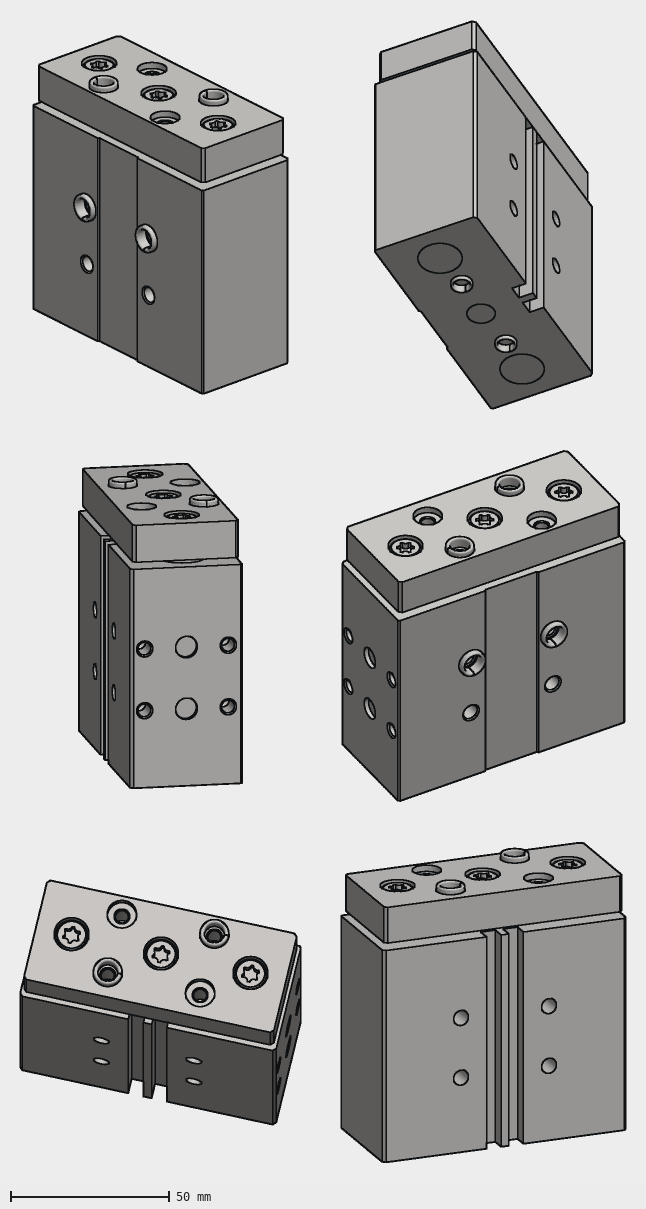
import cadquery as cq
import math


HOUSING_X = 83.0
HOUSING_Y = 36.0
HOUSING_Z = 71.0
BACK_CHAMFER = 1.0
FRONT_CHAMFER = 0.5
HOUSING_FRONT = -HOUSING_Y / 2
HOUSING_BACK = HOUSING_Y / 2
HOUSING_SIDE = -HOUSING_X / 2

CHANNEL_WIDTH = 18.8
CHANNEL_DEPTH = 0.5
CHANNEL_FLARE = 0.35

SLOT_WIDTH = 4.9
SLOT_DEPTH = 4.9
SLOT_RIB = 2.6

YOKE_X = 81.0
YOKE_Y = 34.0
YOKE_Z = 12.0
YOKE_CHAMFER = 1.0
YOKE_GAP = 2.0
YOKE_BOTTOM = HOUSING_Z + YOKE_GAP
YOKE_TOP = YOKE_BOTTOM + YOKE_Z

ROD_Y = -1.0
GUIDE_X = 29.0
GUIDE_DIAMETER = 14.0
PISTON_ROD_DIAMETER = 9.0
SCREW_SHANK_DIAMETER = 6.0
HEAD_RECESS_DIAMETER = 11.0
HEAD_RECESS_DEPTH = 5.3
HEAD_DIAMETER = 10.0
HEAD_CHAMFER = 0.5
HEAD_SINK = 0.6
HEAD_HEIGHT = HEAD_RECESS_DEPTH - HEAD_SINK
HEAD_TOP = YOKE_TOP - HEAD_SINK

SOCKET_TIP_RADIUS = 2.8
SOCKET_SHOULDER_RADIUS = 2.6
SOCKET_VALLEY_RADIUS = 2.0
SOCKET_DEPTH = 2.0
SOCKET_LOBES = 6
SOCKET_TIP_HALF_ANGLE = 9
SOCKET_FIRST_TIP_ANGLE = 90

LEVELS_Z = (25.0, 45.0)
PATTERN_X = 15.0
YOKE_PATTERN_Y = 10.0
CROSS_HOLE_DIAMETER = 5.0
CROSS_HOLE_MOUTH = 6.0
THREAD_HOLE_DIAMETER = 4.1
SIDE_HOLE_MOUTH = 5.2
YOKE_HOLE_MOUTH = 4.9
SIDE_HOLE_Y = 13.5
SIDE_HOLE_DEPTH = 9.0
DRILL_TIP_ANGLE = 118

SLEEVE_DIAMETER = 9.0
SLEEVE_BORE = 6.3
SLEEVE_PROUD = 1.85
SLEEVE_RECESS_DEPTH = 2.1
YOKE_RECESS_DIAMETER = 9.25
SMALL_SLEEVE_DIAMETER = 7.0
SMALL_SLEEVE_BORE = 5.3
SMALL_SLEEVE_PROUD = 1.2
SMALL_RECESS_DEPTH = 1.6
SMALL_SLEEVE_X = 15.6
SLIT_WIDTH = 0.1

INTO_FRONT = cq.Vector(0, 1, 0)
INTO_SIDE = cq.Vector(1, 0, 0)
INTO_TOP = cq.Vector(0, 0, -1)
INTO_BOTTOM = cq.Vector(0, 0, 1)

FRONT_SLEEVE_POINTS = [(x, HOUSING_FRONT, LEVELS_Z[1]) for x in (-PATTERN_X, PATTERN_X)]
CROSS_HOLE_POINTS = [(x, HOUSING_FRONT, LEVELS_Z[0]) for x in (-PATTERN_X, PATTERN_X)]
BOTTOM_SLEEVE_POINTS = [(x, 0, 0) for x in (-SMALL_SLEEVE_X, SMALL_SLEEVE_X)]
YOKE_SLEEVE_POINTS = [(s * PATTERN_X, ROD_Y + s * YOKE_PATTERN_Y, YOKE_TOP) for s in (-1, 1)]
YOKE_OPEN_POINTS = [(s * PATTERN_X, ROD_Y - s * YOKE_PATTERN_Y, YOKE_TOP) for s in (-1, 1)]
GUIDE_POSITIONS = (-GUIDE_X, GUIDE_X)


def cylinder(diameter, depth, point, direction):
    return cq.Workplane(cq.Solid.makeCylinder(diameter / 2, depth, cq.Vector(*point), direction))


def upright_cylinder(diameter, x, z_low, z_high):
    return cylinder(diameter, z_high - z_low, (x, ROD_Y, z_low), cq.Vector(0, 0, 1))


def countersink(mouth, hole, point, direction):
    """A 45 degree cone that breaks the edge of a hole."""
    depth = (mouth - hole) / 2
    return cq.Workplane(cq.Solid.makeCone(mouth / 2, hole / 2, depth, cq.Vector(*point), direction))


def drilled_hole(hole, mouth, depth, point, direction):
    """A blind hole with a countersunk mouth and a conical drill tip."""
    tip_height = hole / 2 / math.tan(math.radians(DRILL_TIP_ANGLE / 2))
    tip_start = cq.Vector(*point) + direction * depth
    tip = cq.Solid.makeCone(hole / 2, 0, tip_height, tip_start, direction)
    shaft = cylinder(hole, depth, point, direction)
    return shaft.union(cq.Workplane(tip)).union(countersink(mouth, hole, point, direction))


def make_housing():
    x = HOUSING_X / 2
    outline = [
        (-x, HOUSING_FRONT + FRONT_CHAMFER),
        (-x + FRONT_CHAMFER, HOUSING_FRONT),
        (x - FRONT_CHAMFER, HOUSING_FRONT),
        (x, HOUSING_FRONT + FRONT_CHAMFER),
        (x, HOUSING_BACK - BACK_CHAMFER),
        (x - BACK_CHAMFER, HOUSING_BACK),
        (-x + BACK_CHAMFER, HOUSING_BACK),
        (-x, HOUSING_BACK - BACK_CHAMFER),
    ]
    body = cq.Workplane().polyline(outline).close().extrude(HOUSING_Z)

    floor_x = CHANNEL_WIDTH / 2
    channel = [
        (-floor_x - CHANNEL_FLARE, HOUSING_FRONT),
        (-floor_x, HOUSING_FRONT + CHANNEL_DEPTH),
        (floor_x, HOUSING_FRONT + CHANNEL_DEPTH),
        (floor_x + CHANNEL_FLARE, HOUSING_FRONT),
    ]
    body = body.cut(cq.Workplane().polyline(channel).close().extrude(HOUSING_Z))
    slot_x = (SLOT_RIB + SLOT_WIDTH) / 2
    body = body.cut(
        cq.Workplane()
        .pushPoints([(-slot_x, HOUSING_BACK), (slot_x, HOUSING_BACK)])
        .rect(SLOT_WIDTH, 2 * SLOT_DEPTH)
        .extrude(HOUSING_Z)
    )

    body = body.cut(upright_cylinder(PISTON_ROD_DIAMETER, 0, 0, HOUSING_Z))
    for guide_x in GUIDE_POSITIONS:
        body = body.cut(upright_cylinder(GUIDE_DIAMETER, guide_x, 0, HOUSING_Z))

    for point in CROSS_HOLE_POINTS:
        body = body.cut(cylinder(CROSS_HOLE_DIAMETER, HOUSING_Y, point, INTO_FRONT))
        body = body.cut(countersink(CROSS_HOLE_MOUTH, CROSS_HOLE_DIAMETER, point, INTO_FRONT))
    for point in FRONT_SLEEVE_POINTS:
        floor = cq.Vector(*point) + INTO_FRONT * SLEEVE_RECESS_DEPTH
        body = body.cut(cylinder(CROSS_HOLE_DIAMETER, HOUSING_Y, point, INTO_FRONT))
        body = body.cut(cylinder(SLEEVE_DIAMETER, SLEEVE_RECESS_DEPTH, point, INTO_FRONT))
        body = body.cut(
            countersink(CROSS_HOLE_MOUTH, CROSS_HOLE_DIAMETER, floor.toTuple(), INTO_FRONT)
        )

    for z in LEVELS_Z:
        middle = (HOUSING_SIDE, 0, z)
        body = body.cut(cylinder(SMALL_SLEEVE_DIAMETER, SMALL_RECESS_DEPTH, middle, INTO_SIDE))
        for y in (-SIDE_HOLE_Y, SIDE_HOLE_Y):
            body = body.cut(
                drilled_hole(
                    THREAD_HOLE_DIAMETER,
                    SIDE_HOLE_MOUTH,
                    SIDE_HOLE_DEPTH,
                    (HOUSING_SIDE, y, z),
                    INTO_SIDE,
                )
            )

    for point in BOTTOM_SLEEVE_POINTS:
        body = body.cut(cylinder(SMALL_SLEEVE_DIAMETER, SMALL_RECESS_DEPTH, point, INTO_BOTTOM))
    return body


def make_screw_head(x):
    """A chamfered round head with a six-lobed socket, standing in its recess."""

    def polar(radius, degrees):
        angle = math.radians(degrees)
        return (x + radius * math.cos(angle), ROD_Y + radius * math.sin(angle))

    head = upright_cylinder(HEAD_DIAMETER, x, HEAD_TOP - HEAD_HEIGHT, HEAD_TOP)
    head = head.faces(">Z").chamfer(HEAD_CHAMFER)

    pitch = 360 / SOCKET_LOBES
    half = SOCKET_TIP_HALF_ANGLE
    outline = cq.Workplane().workplane(offset=HEAD_TOP - SOCKET_DEPTH)
    outline = outline.moveTo(*polar(SOCKET_SHOULDER_RADIUS, SOCKET_FIRST_TIP_ANGLE - half))
    for lobe in range(SOCKET_LOBES):
        tip = SOCKET_FIRST_TIP_ANGLE + lobe * pitch
        tip_end = polar(SOCKET_SHOULDER_RADIUS, tip + half)
        outline = outline.threePointArc(polar(SOCKET_TIP_RADIUS, tip), tip_end)
        valley = polar(SOCKET_VALLEY_RADIUS, tip + pitch / 2)
        next_tip_start = polar(SOCKET_SHOULDER_RADIUS, tip + pitch - half)
        outline = outline.threePointArc(valley, next_tip_start)
    return head.cut(outline.close().extrude(SOCKET_DEPTH))


def make_yoke():
    """The yoke plate in one piece with the piston rod and the screw head above it."""
    plate = (
        cq.Workplane()
        .box(YOKE_X, YOKE_Y, YOKE_Z, centered=(True, True, False))
        .edges("|Z")
        .chamfer(YOKE_CHAMFER)
        .translate((0, 0, YOKE_BOTTOM))
    )
    for x in (0, *GUIDE_POSITIONS):
        recess_floor = YOKE_TOP - HEAD_RECESS_DEPTH
        plate = plate.cut(upright_cylinder(HEAD_RECESS_DIAMETER, x, recess_floor, YOKE_TOP))
    for x in GUIDE_POSITIONS:
        plate = plate.cut(upright_cylinder(SCREW_SHANK_DIAMETER, x, YOKE_BOTTOM, YOKE_TOP))

    for point in YOKE_SLEEVE_POINTS + YOKE_OPEN_POINTS:
        floor = cq.Vector(*point) + INTO_TOP * SLEEVE_RECESS_DEPTH
        plate = plate.cut(cylinder(YOKE_RECESS_DIAMETER, SLEEVE_RECESS_DEPTH, point, INTO_TOP))
        plate = plate.cut(cylinder(THREAD_HOLE_DIAMETER, YOKE_Z, point, INTO_TOP))
        plate = plate.cut(
            countersink(YOKE_HOLE_MOUTH, THREAD_HOLE_DIAMETER, floor.toTuple(), INTO_TOP)
        )

    piston_rod = upright_cylinder(PISTON_ROD_DIAMETER, 0, 0, YOKE_BOTTOM)
    return plate.union(piston_rod).union(make_screw_head(0))


def make_guide_rod(x):
    """A guide rod in one piece with the screw that holds it to the yoke."""
    rod = upright_cylinder(GUIDE_DIAMETER, x, 0, YOKE_BOTTOM)
    shank = upright_cylinder(SCREW_SHANK_DIAMETER, x, YOKE_BOTTOM, HEAD_TOP - HEAD_HEIGHT)
    return rod.union(shank).union(make_screw_head(x))


def make_sleeve(diameter, bore, recess_depth, proud, point, direction, slit_direction):
    """A slit ring with fully rounded ends, standing proud of its recess."""
    outer = diameter / 2
    inner = bore / 2
    middle = (outer + inner) / 2
    rounding = (outer - inner) / 2
    length = recess_depth + proud
    ring = (
        cq.Workplane("XZ")
        .moveTo(outer, rounding)
        .lineTo(outer, length - rounding)
        .threePointArc((middle, length), (inner, length - rounding))
        .lineTo(inner, rounding)
        .threePointArc((middle, 0), (outer, rounding))
        .close()
        .revolve(360, (0, 0, 0), (0, 1, 0))
    )
    slit = cq.Workplane().box(diameter, SLIT_WIDTH, length, centered=(False, True, False))
    outer_end = cq.Vector(*point) - direction * proud
    place = cq.Plane(outer_end.toTuple(), slit_direction, direction.toTuple())
    return cq.Workplane(ring.cut(slit).val().moved(cq.Location(place)))


def make_large_sleeve(point, direction, slit_direction):
    return make_sleeve(
        SLEEVE_DIAMETER, SLEEVE_BORE, SLEEVE_RECESS_DEPTH, SLEEVE_PROUD,
        point, direction, slit_direction,
    )


def make_small_sleeve(point, direction, slit_direction):
    return make_sleeve(
        SMALL_SLEEVE_DIAMETER, SMALL_SLEEVE_BORE, SMALL_RECESS_DEPTH, SMALL_SLEEVE_PROUD,
        point, direction, slit_direction,
    )


housing = make_housing()
yoke = make_yoke()
guide_rods = [make_guide_rod(x) for x in GUIDE_POSITIONS]
yoke_sleeves = [make_large_sleeve(point, INTO_TOP, (-1, 0, 0)) for point in YOKE_SLEEVE_POINTS]
front_sleeves = [make_large_sleeve(point, INTO_FRONT, (0, 0, -1)) for point in FRONT_SLEEVE_POINTS]
bottom_sleeves = [make_small_sleeve(point, INTO_BOTTOM, (-1, 0, 0)) for point in BOTTOM_SLEEVE_POINTS]

bodies = [housing, yoke, *guide_rods, *yoke_sleeves, *front_sleeves, *bottom_sleeves]
result = cq.Compound.makeCompound([body.solids().val() for body in bodies])